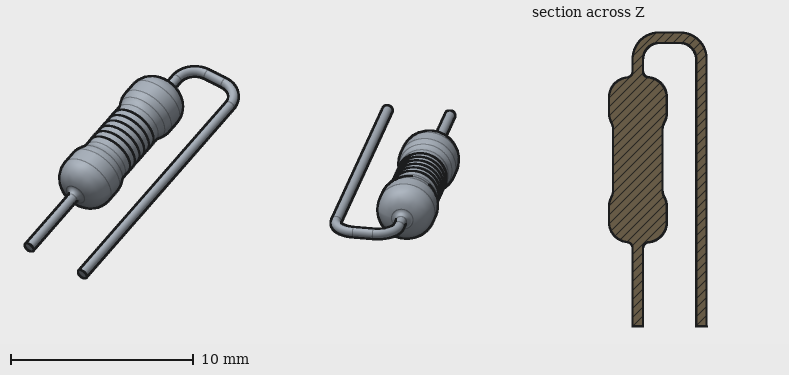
import cadquery as cq

cap_radius = 3.2 / 2
neck_radius = 2.72 / 2
body_half_length = 4.52
dome_start_y = 3.4
shoulder_outer_y = 2.56
neck_half_length = 1.63

band_radius = 2.74 / 2
band_count = 3
band_width = 2 * neck_half_length / (2 * band_count + 1)

wire_radius = 0.6 / 2
lead_pitch = 3.5
bend_radius = 4 * wire_radius
overall_length = 16.1
fold_outer_y = 6.99
lead_end_y = fold_outer_y - overall_length

collar_radius = wire_radius
collar_foot_radius = wire_radius + collar_radius
collar_end_y = body_half_length + collar_radius


def make_body():
    """Revolve half of the body (neck, shoulder, cap, dome, collar) and mirror it."""
    shoulder_mid_radius = (cap_radius + neck_radius) / 2
    shoulder_mid_y = (shoulder_outer_y + neck_half_length) / 2
    collar_mid_offset = collar_radius * (1 - 0.5**0.5)

    half = (
        cq.Workplane("XY")
        .lineTo(neck_radius, 0)
        .lineTo(neck_radius, neck_half_length)
        .tangentArcPoint((shoulder_mid_radius, shoulder_mid_y), relative=False)
        .tangentArcPoint((cap_radius, shoulder_outer_y), relative=False)
        .lineTo(cap_radius, dome_start_y)
        .tangentArcPoint((collar_foot_radius, body_half_length), relative=False)
        .threePointArc(
            (wire_radius + collar_mid_offset, body_half_length + collar_mid_offset),
            (wire_radius, collar_end_y),
        )
        .lineTo(0, collar_end_y)
        .close()
        .revolve(360, (0, 0, 0), (0, 1, 0))
    )
    return half.union(half.mirror("XZ"))


def make_band(center_y):
    """Disc standing slightly proud of the neck, centred at the given Y."""
    return (
        cq.Workplane("XZ", origin=(0, center_y + band_width / 2, 0))
        .circle(band_radius)
        .extrude(band_width)
    )


def make_wire():
    """Sweep the round wire through the body and around the two bends."""
    fold_y = fold_outer_y - wire_radius
    bend_start_y = fold_y - bend_radius
    path = (
        cq.Workplane("XY")
        .moveTo(0, lead_end_y)
        .lineTo(0, bend_start_y)
        .tangentArcPoint((bend_radius, fold_y), relative=False)
        .lineTo(lead_pitch - bend_radius, fold_y)
        .tangentArcPoint((lead_pitch, bend_start_y), relative=False)
        .lineTo(lead_pitch, lead_end_y)
    )
    return cq.Workplane("XZ", origin=(0, lead_end_y, 0)).circle(wire_radius).sweep(path)


result = make_body()
for index in range(band_count):
    steps_from_center = index - (band_count - 1) / 2
    result = result.union(make_band(2 * band_width * steps_from_center))
result = result.union(make_wire())